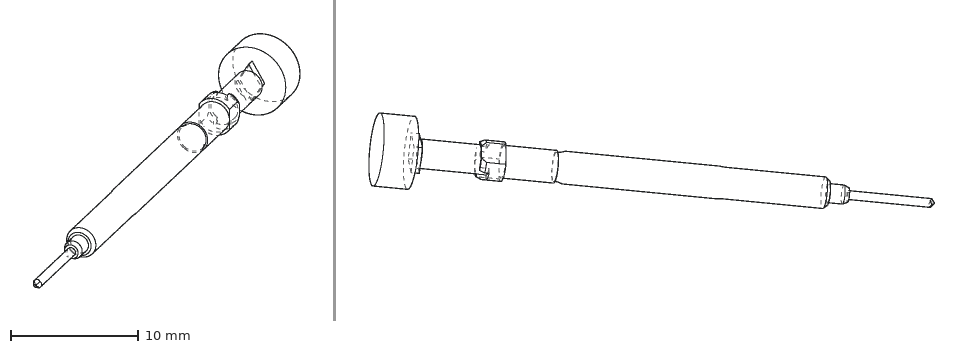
import cadquery as cq

TOTAL_LENGTH = 44.8

HEAD_DIAMETER = 5.8
HEAD_BOTTOM = 42.0
KEY_HALF_WIDTH = 1.08
KEY_HALF_HEIGHT = 1.75
KEY_THICKNESS = 0.65

NECK_RADIUS = 1.15
COLLAR_TOP = 36.65
COLLAR_BOTTOM = 34.68
COLLAR_RADIUS = 1.55
COLLAR_CHAMFER_LENGTH = 0.4
COLLAR_CHAMFER_DEPTH = 0.2
NOTCH_WIDTH = 1.15
NOTCH_LENGTH = 0.75

BARREL_RADIUS = 1.3
GROOVE_TOP = 30.45
GROOVE_FLOOR_LENGTH = 0.25
GROOVE_RAMP_LENGTH = 0.45
GROOVE_DEPTH = 0.15
SLEEVE_RADIUS = 1.25
SLEEVE_TOP = 16.95
SLEEVE_RAMP_LENGTH = 0.45
BARREL_BOTTOM = 8.55
BARREL_CHAMFER_LENGTH = 0.3
BARREL_CHAMFER_DEPTH = 0.25

NOSE_RADIUS = 0.75
NOSE_BOTTOM = 6.95
NOSE_CHAMFER_LENGTH = 0.4
NOSE_CHAMFER_DEPTH = 0.2
NEEDLE_RADIUS = 0.35
TIP_LENGTH = 0.4


def turned_body():
    """Nose, barrel and neck revolved from a half profile of (radius, Y) points."""
    groove_floor_bottom = GROOVE_TOP - GROOVE_FLOOR_LENGTH
    groove_radius = BARREL_RADIUS - GROOVE_DEPTH
    profile = [
        (0, NOSE_BOTTOM),
        (NOSE_RADIUS - NOSE_CHAMFER_DEPTH, NOSE_BOTTOM),
        (NOSE_RADIUS, NOSE_BOTTOM + NOSE_CHAMFER_LENGTH),
        (NOSE_RADIUS, BARREL_BOTTOM),
        (SLEEVE_RADIUS - BARREL_CHAMFER_DEPTH, BARREL_BOTTOM),
        (SLEEVE_RADIUS, BARREL_BOTTOM + BARREL_CHAMFER_LENGTH),
        (SLEEVE_RADIUS, SLEEVE_TOP),
        (BARREL_RADIUS, SLEEVE_TOP + SLEEVE_RAMP_LENGTH),
        (BARREL_RADIUS, groove_floor_bottom - GROOVE_RAMP_LENGTH),
        (groove_radius, groove_floor_bottom),
        (groove_radius, GROOVE_TOP),
        (BARREL_RADIUS, GROOVE_TOP),
        (BARREL_RADIUS, COLLAR_BOTTOM),
        (NECK_RADIUS, COLLAR_BOTTOM),
        (NECK_RADIUS, HEAD_BOTTOM - KEY_THICKNESS),
        (0, HEAD_BOTTOM - KEY_THICKNESS),
    ]
    return cq.Workplane("XY").polyline(profile).close().revolve(360, (0, 0), (0, 1))


def needle():
    """Thin rod whose end is ground to a four-sided point, with edges along the XZ diagonals."""
    rod = cq.Workplane("XZ").circle(NEEDLE_RADIUS).extrude(-NOSE_BOTTOM)
    wedge_half_width = NOSE_BOTTOM * NEEDLE_RADIUS / TIP_LENGTH
    wedge = (
        cq.Workplane("XY")
        .polyline([(0, 0), (wedge_half_width, NOSE_BOTTOM), (-wedge_half_width, NOSE_BOTTOM)])
        .close()
        .extrude(NEEDLE_RADIUS, both=True)
    )
    crossed_wedge = wedge.rotate((0, 0, 0), (0, 1, 0), 90)
    return rod.intersect(wedge).intersect(crossed_wedge)


def collar():
    """Chamfered ring with two flats facing +X and -X, notched on the +Z and -Z sides."""
    profile = [
        (0, COLLAR_BOTTOM),
        (COLLAR_RADIUS, COLLAR_BOTTOM),
        (COLLAR_RADIUS, COLLAR_TOP - COLLAR_CHAMFER_LENGTH),
        (COLLAR_RADIUS - COLLAR_CHAMFER_DEPTH, COLLAR_TOP),
        (0, COLLAR_TOP),
    ]
    ring = cq.Workplane("XY").polyline(profile).close().revolve(360, (0, 0), (0, 1))
    middle = (COLLAR_TOP + COLLAR_BOTTOM) / 2
    between_flats = cq.Workplane("XY").box(
        2 * BARREL_RADIUS, COLLAR_TOP - COLLAR_BOTTOM, 2 * COLLAR_RADIUS
    ).translate((0, middle, 0))
    notch = cq.Workplane("XY").box(
        NOTCH_WIDTH, NOTCH_LENGTH, 2 * COLLAR_RADIUS
    ).translate((0, COLLAR_TOP - NOTCH_LENGTH / 2, 0))
    return ring.intersect(between_flats).cut(notch)


def key():
    """Rhombic plate under the head, with its long diagonal along Z."""
    corners = [
        (KEY_HALF_WIDTH, 0),
        (0, KEY_HALF_HEIGHT),
        (-KEY_HALF_WIDTH, 0),
        (0, -KEY_HALF_HEIGHT),
    ]
    plane = cq.Workplane("XZ", origin=(0, HEAD_BOTTOM, 0))
    return plane.polyline(corners).close().extrude(KEY_THICKNESS)


def head():
    """Plain disc closing the +Y end."""
    plane = cq.Workplane("XZ", origin=(0, TOTAL_LENGTH, 0))
    return plane.circle(HEAD_DIAMETER / 2).extrude(TOTAL_LENGTH - HEAD_BOTTOM)


result = needle().union(turned_body()).union(collar()).union(key()).union(head())